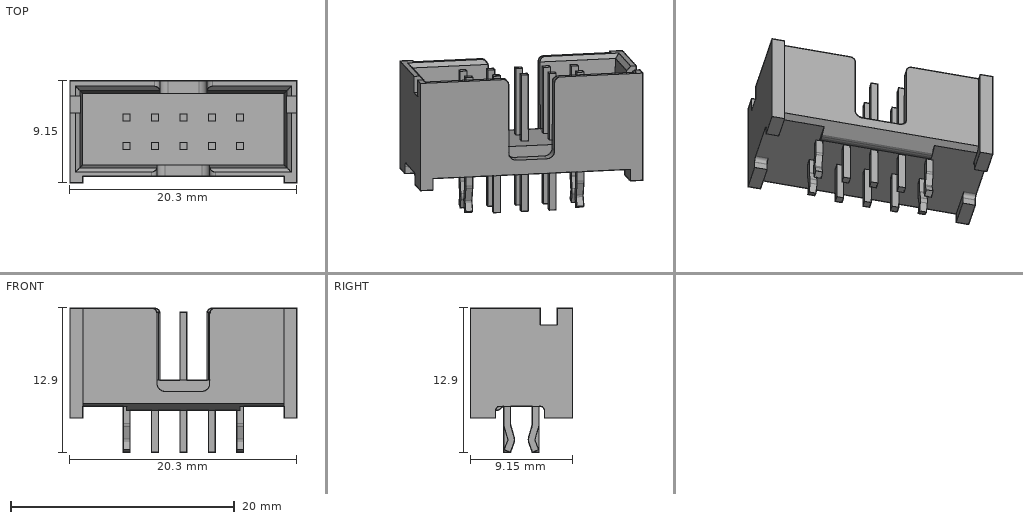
import cadquery as cq
import math


LENGTH = 20.32
DEPTH = 9.15
TOP_Z = 9.85
UNDERSIDE_Z = 1.05
FRONT_FACE_Y = 0.57
POST_WIDTH = 1.15

FRONT_FOOT_END_Y = 2.25
BACK_FOOT_START_Y = 6.62
FOOT_FILLET = 0.39

FLOOR_Z = 3.41
WALL_RIM = 0.5
FRONT_RIM = 0.39
RIM_CHAMFER = 0.39
WALL_DRAFT = 0.25
FLOOR_INSET = RIM_CHAMFER + WALL_DRAFT

SLOT_BOTTOM_Z = 2.4
FRONT_SLOT_WIDTH = 4.71
BACK_SLOT_WIDTH = 4.19
SLOT_TOP_FILLET = 0.5
SLOT_BOTTOM_FILLET = 0.71

END_NOTCH_DEPTH = 1.5
END_NOTCH_START_Y = 6.25
END_NOTCH_WIDTH = 1.5

SLOPE_TOP_Z = 1.32
RIB_BOTTOM_Z = 0.7
SLOPE_ANGLE = 23.5
RIB_FLAT_END_Y = 2.52
RIB_BACK_END_Y = 2.93
RIB_FILLET = 0.4

PIN_SIZE = 0.63
PIN_PITCH = 2.55
PINS_PER_ROW = 5
PIN_TOP_Z = 9.49
PIN_BOTTOM_Z = -3.05
ROW_CENTRE_Y = 4.57

KINK_START_Z = -0.6
KINK_APEX_Z = -1.95
KINK_OFFSET = 0.39
KINK_TIP_ANGLE = 22.0
KINK_BEND_RADIUS = 0.22


def box(x_range, y_range, z_range):
    """Axis-aligned box between the given limits."""
    (x0, x1), (y0, y1), (z0, z1) = x_range, y_range, z_range
    return cq.Workplane("XY").box(x1 - x0, y1 - y0, z1 - z0, centered=False).translate((x0, y0, z0))


def extrude_along_x(outline, length):
    """Closed (y, z) outline extruded symmetrically about X = 0."""
    return cq.Workplane("YZ").polyline(outline).close().extrude(length / 2, both=True)


def shroud_block():
    """Solid block with corner posts and feet."""
    half_length = LENGTH / 2
    inner_x = half_length - POST_WIDTH
    block = box((-half_length, half_length), (0, DEPTH), (0, TOP_Z))
    front_recess = box((-inner_x, inner_x), (0, FRONT_FACE_Y), (0, TOP_Z))
    middle_gap = box((-inner_x, inner_x), (0, DEPTH), (0, UNDERSIDE_Z))
    foot_gap = (
        box((-half_length, half_length), (FRONT_FOOT_END_Y, BACK_FOOT_START_Y), (0, UNDERSIDE_Z))
        .edges("|X and >Z")
        .fillet(FOOT_FILLET)
    )
    return block.cut(front_recess).cut(middle_gap).cut(foot_gap)


def inset_rectangle(inset, z):
    """Rectangular wire of the cavity, the given distance inside its rim opening."""
    x = LENGTH / 2 - WALL_RIM - inset
    y_front = FRONT_FACE_Y + FRONT_RIM + inset
    y_back = DEPTH - WALL_RIM - inset
    corners = [(-x, y_front, z), (x, y_front, z), (x, y_back, z), (-x, y_back, z)]
    return cq.Wire.makePolygon([cq.Vector(*corner) for corner in corners], close=True)


def cavity():
    """Drafted cavity with a chamfered mouth."""
    chamfer_z = TOP_Z - RIM_CHAMFER
    rim = inset_rectangle(0, TOP_Z)
    throat = inset_rectangle(RIM_CHAMFER, chamfer_z)
    floor = inset_rectangle(FLOOR_INSET, FLOOR_Z)
    mouth = cq.Solid.makeLoft([throat, rim], True)
    well = cq.Solid.makeLoft([floor, throat], True)
    return cq.Workplane(mouth).union(cq.Workplane(well))


def wall_slot(width, y_start, y_end):
    """Slot cutter, open at the top, with flared top and rounded bottom corners."""
    half = width / 2
    top_r = SLOT_TOP_FILLET
    low_r = SLOT_BOTTOM_FILLET
    outline = (
        cq.Workplane("XZ", origin=(0, y_end, 0))
        .moveTo(-half - top_r, TOP_Z)
        .radiusArc((-half, TOP_Z - top_r), top_r)
        .lineTo(-half, SLOT_BOTTOM_Z + low_r)
        .radiusArc((-half + low_r, SLOT_BOTTOM_Z), -low_r)
        .lineTo(half - low_r, SLOT_BOTTOM_Z)
        .radiusArc((half, SLOT_BOTTOM_Z + low_r), -low_r)
        .lineTo(half, TOP_Z - top_r)
        .radiusArc((half + top_r, TOP_Z), top_r)
        .close()
    )
    return outline.extrude(y_end - y_start)


def wall_slots():
    """Front and back slots, each reaching in to the edge of the cavity floor."""
    floor_front_y = FRONT_FACE_Y + FRONT_RIM + FLOOR_INSET
    floor_back_y = DEPTH - WALL_RIM - FLOOR_INSET
    front = wall_slot(FRONT_SLOT_WIDTH, FRONT_FACE_Y, floor_front_y)
    back = wall_slot(BACK_SLOT_WIDTH, floor_back_y, DEPTH)
    return front.union(back)


def end_notches():
    """One cutter across both end walls."""
    y_range = (END_NOTCH_START_Y, END_NOTCH_START_Y + END_NOTCH_WIDTH)
    return box((-LENGTH / 2, LENGTH / 2), y_range, (TOP_Z - END_NOTCH_DEPTH, TOP_Z))


def slope_y(z):
    """Y of the sloped underside at height z."""
    return FRONT_FACE_Y + (SLOPE_TOP_Z - z) / math.tan(math.radians(SLOPE_ANGLE))


def front_slope():
    """Wedge cut off the lower front edge between the posts."""
    outline = [
        (FRONT_FACE_Y, SLOPE_TOP_Z),
        (slope_y(UNDERSIDE_Z), UNDERSIDE_Z),
        (FRONT_FACE_Y, UNDERSIDE_Z),
    ]
    return extrude_along_x(outline, LENGTH - 2 * POST_WIDTH)


def underside_rib():
    """Rib that carries the front slope on below the underside."""
    outline = [
        (slope_y(UNDERSIDE_Z), UNDERSIDE_Z),
        (slope_y(RIB_BOTTOM_Z), RIB_BOTTOM_Z),
        (RIB_FLAT_END_Y, RIB_BOTTOM_Z),
        (RIB_BACK_END_Y, UNDERSIDE_Z),
    ]
    rib = extrude_along_x(outline, (PINS_PER_ROW - 1) * PIN_PITCH)
    return rib.faces("<Z").edges("|X").fillet(RIB_FILLET)


def straight_pin(x, y, bottom_z):
    """Square pin down to the given height."""
    half = PIN_SIZE / 2
    return box((x - half, x + half), (y - half, y + half), (bottom_z, PIN_TOP_Z))


def kinked_leg(x, y, inward):
    """Bent pin end with a square-cut tip; inward is +1 or -1 along Y."""
    half = PIN_SIZE / 2
    tip = math.radians(KINK_TIP_ANGLE)
    apex_outer = -half + KINK_OFFSET
    tip_outer_z = PIN_BOTTOM_Z + PIN_SIZE * math.sin(tip)
    tip_outer = apex_outer - (KINK_APEX_Z - tip_outer_z) * math.tan(tip)
    tip_inner = tip_outer + PIN_SIZE * math.cos(tip)
    profile = [
        (-half, 0),
        (-half, KINK_START_Z),
        (apex_outer, KINK_APEX_Z),
        (tip_outer, tip_outer_z),
        (tip_inner, PIN_BOTTOM_Z),
        (half + KINK_OFFSET, KINK_APEX_Z),
        (half, KINK_START_Z),
        (half, 0),
    ]
    outline = [(y + inward * offset, z) for offset, z in profile]
    leg = extrude_along_x(outline, PIN_SIZE).translate((x, 0, 0))
    inside_bends = [(half, KINK_START_Z), (apex_outer, KINK_APEX_Z)]
    outside_bends = [(-half, KINK_START_Z), (half + KINK_OFFSET, KINK_APEX_Z)]
    bend_radii = ((inside_bends, KINK_BEND_RADIUS), (outside_bends, KINK_BEND_RADIUS + PIN_SIZE))
    for bends, radius in bend_radii:
        for offset, z in bends:
            bend_edge = cq.selectors.NearestToPointSelector((x, y + inward * offset, z))
            leg = leg.edges("|X").edges(bend_edge).fillet(radius)
    return leg


def pins():
    """Two rows of pins; the end pins have kinked legs."""
    last = PINS_PER_ROW - 1
    finished_pins = []
    for inward in (1, -1):
        y = ROW_CENTRE_Y - inward * PIN_PITCH / 2
        for index in range(PINS_PER_ROW):
            x = (index - last / 2) * PIN_PITCH
            if index in (0, last):
                pin = straight_pin(x, y, 0).union(kinked_leg(x, y, inward))
            else:
                pin = straight_pin(x, y, PIN_BOTTOM_Z)
            finished_pins.append(pin)
    return finished_pins


result = shroud_block().cut(front_slope()).union(underside_rib())
result = result.cut(cavity()).cut(wall_slots()).cut(end_notches())
for header_pin in pins():
    result = result.union(header_pin)